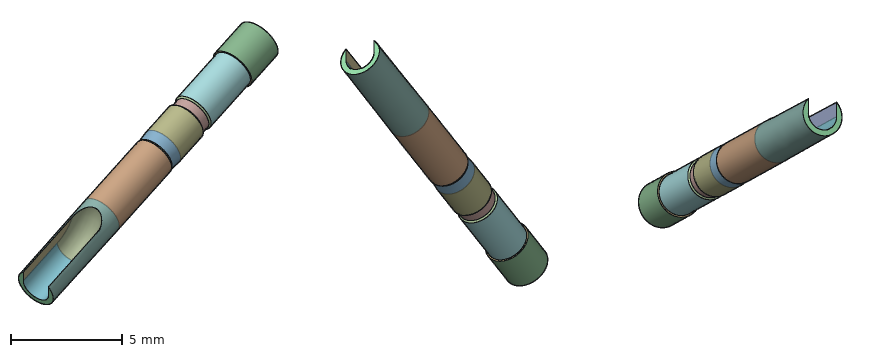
import cadquery as cq

length = 17.0

collar_diameter = 2.15
body_diameter = 1.99
band_diameter = 2.0
groove_diameter = 1.84
relief_diameter = 1.92
tip_diameter = 1.94

collar_end = 2.0
groove_start = 5.0
groove_end = 5.61
relief_start = 7.35
relief_end = 8.0
tip_taper_start = 12.0

trough_width = 1.4
trough_straight_length = 2.6
runout_radius = 2.0

body_radius = body_diameter / 2
band_radius = band_diameter / 2
groove_radius = groove_diameter / 2
relief_radius = relief_diameter / 2
groove_chamfer = body_radius - groove_radius
relief_chamfer = 0.08
trough_radius = trough_width / 2
runout_axis_height = runout_radius - trough_radius


def turned_body():
    """Solid of revolution: collar, body, chamfered groove, raised band, tapered relief and tapered tip."""
    steps = [
        (collar_diameter / 2, 0),
        (collar_diameter / 2, collar_end),
        (body_radius, collar_end),
        (body_radius, groove_start),
        (groove_radius, groove_start + groove_chamfer),
        (groove_radius, groove_end - groove_chamfer),
        (band_radius, groove_end),
        (band_radius, relief_start),
        (relief_radius, relief_end - relief_chamfer),
        (body_radius, relief_end),
        (body_radius, tip_taper_start),
        (tip_diameter / 2, length),
    ]
    profile = cq.Workplane("YZ").moveTo(length, 0)
    for radius, distance in steps:
        profile = profile.lineTo(length - distance, radius)
    return profile.lineTo(0, 0).close().revolve(360, (0, 0, 0), (1, 0, 0))


def trough_section(y):
    """U-shaped section facing -Y: half-round bottom on the pin axis, upright sides."""
    return (
        cq.Workplane("XZ", origin=(0, y, 0))
        .moveTo(-trough_radius, runout_axis_height)
        .lineTo(-trough_radius, 0)
        .threePointArc((0, -trough_radius), (trough_radius, 0))
        .lineTo(trough_radius, runout_axis_height)
        .close()
    )


def trough_cutter():
    """Straight trough from the tip, then the same section swung upward about a crosswise axis."""
    straight = trough_section(trough_straight_length).extrude(trough_straight_length)
    axis_start = (0, runout_axis_height)
    axis_end = (1, runout_axis_height)
    runout = trough_section(trough_straight_length).revolve(90, axis_start, axis_end)
    return straight.union(runout)


result = turned_body().cut(trough_cutter())